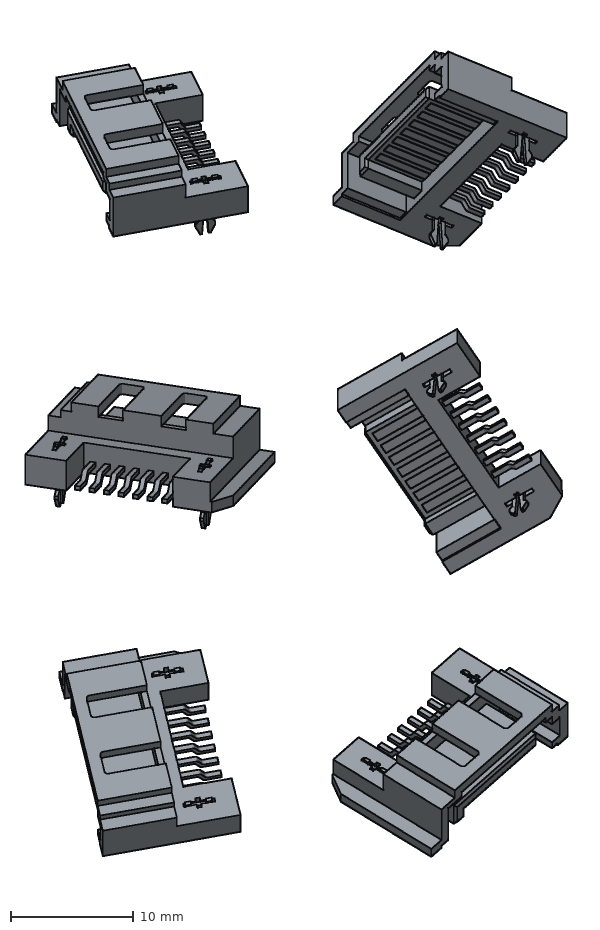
import cadquery as cq
import math


WIDTH = 17.47
DEPTH = 11.51
HEIGHT = 5.49
SHELL_DEPTH = 6.18
BACK_HEIGHT = 2.67
MIDDLE_X = 9.26

LEDGE_WIDTH = 1.31
LEDGE_HEIGHT = 0.95
LEDGE_CUT_X = 1.17
LEDGE_CUT_Y = 1.9

ROOF_LEFT_X = 3.02
ROOF_RIGHT_X = 15.45
LEFT_SHOULDER_Z = 4.6
RIGHT_SHOULDER_X = 16.39
RIGHT_SHOULDER_Z = 4.66
RIGHT_WALL_Z = 4.02

CAVITY_DEPTH = 5.66
CAVITY_LEFT_X = 2.2
CAVITY_RIGHT_X = ROOF_RIGHT_X
CAVITY_SHOULDER_Z = RIGHT_WALL_Z
CAVITY_ROOF_Z = 4.55
CAVITY_ROOF_LEFT_X = 3.91
CAVITY_ROOF_RIGHT_X = 14.62
SIDE_SLOT_X = 16.45
SIDE_SLOT_TOP_Z = 3.13
FOOT_RELIEF_LEFT_X = LEDGE_WIDTH
FOOT_RELIEF_RIGHT_X = 16.16
FOOT_RELIEF_HEIGHT = 0.23

WINDOW_WIDTH = 2.15
WINDOW_PITCH = 5.5
WINDOW_FRONT_Y = 1.1
WINDOW_RADIUS = 0.3

NOTCH_LEFT_X = 4.56
NOTCH_RIGHT_X = 13.89
NOTCH_DEPTH = 4.04
NOTCH_FRONT_Y = DEPTH - NOTCH_DEPTH

TONGUE_FRONT_Y = 0.25
TONGUE_LEFT_X = 3.42
TONGUE_RIGHT_X = 13.87
TONGUE_TOP_Z = 3.02
TONGUE_BOTTOM_Z = 1.75
TONGUE_LEG_X = 4.63
TONGUE_LEG_BOTTOM_Z = 0.82
TONGUE_BEVEL = 0.21

CONTACT_COUNT = 7
CONTACT_SPAN = 7.62
CONTACT_PITCH = CONTACT_SPAN / (CONTACT_COUNT - 1)
BLADE_WIDTH = 0.82
BLADE_FRONT_Y = 0.87
BLADE_DROP = 0.05
TAIL_WIDTH = 0.47
TAIL_THICKNESS = 0.37
TAIL_END_Y = 11.05
TAIL_SHOULDER_Y = 9.3
TAIL_FOOT_Y = 9.77
TAIL_DROP = 0.7
TAIL_BEND_RADIUS = 0.21

CLIP_PITCH = 12.72
CLIP_Y = 8.39
CLIP_THICKNESS = 0.31
CLIP_HALF_LENGTH = 1.12
CLIP_TOP_Z = 2.85
CLIP_NOTCH_HALF = 0.63
CLIP_NOTCH_Z = 2.5
CLIP_BODY_BOTTOM_Z = 0.87
LEG_OUTER = 0.55
LEG_GAP_TOP = 0.1
LEG_TIP_Z = -2.75
LEG_TIP_INNER = 0.28
LEG_TIP_OUTER = 0.45
BARB_START_Z = -1.25
BARB_TOP_Z = -1.68
BARB_BOTTOM_Z = -1.95
BARB_OUTER = 0.84
SLOT_LENGTH = 2.6
SLOT_Y = 8.44
CROSS_LENGTH = 0.93
CROSS_WIDTH = 0.37


def box(x0, x1, y0, y1, z0, z1):
    return cq.Workplane("XY").box(x1 - x0, y1 - y0, z1 - z0, centered=False).translate((x0, y0, z0))


def prism_along_y(points, y0, y1):
    return cq.Workplane("XZ", origin=(0, y0, 0)).polyline(points).close().extrude(y0 - y1)


def centred_positions(count, pitch):
    return [MIDDLE_X + (i - (count - 1) / 2) * pitch for i in range(count)]


def shell():
    outline = [
        (LEDGE_WIDTH, 0),
        (LEDGE_WIDTH, LEFT_SHOULDER_Z),
        (ROOF_LEFT_X, LEFT_SHOULDER_Z),
        (ROOF_LEFT_X, HEIGHT),
        (ROOF_RIGHT_X, HEIGHT),
        (ROOF_RIGHT_X, RIGHT_SHOULDER_Z),
        (RIGHT_SHOULDER_X, RIGHT_SHOULDER_Z),
        (RIGHT_SHOULDER_X, RIGHT_WALL_Z),
        (WIDTH, RIGHT_WALL_Z),
        (WIDTH, 0),
    ]
    return prism_along_y(outline, 0, SHELL_DEPTH)


def back_block():
    block = box(LEDGE_WIDTH, WIDTH, SHELL_DEPTH, DEPTH, 0, BACK_HEIGHT)
    return block.cut(box(NOTCH_LEFT_X, NOTCH_RIGHT_X, NOTCH_FRONT_Y, DEPTH, 0, BACK_HEIGHT))


def ledge():
    outline = [
        (0, 0),
        (LEDGE_WIDTH, 0),
        (LEDGE_WIDTH, DEPTH),
        (LEDGE_CUT_X, DEPTH),
        (0, DEPTH - LEDGE_CUT_Y),
    ]
    return cq.Workplane("XY").polyline(outline).close().extrude(LEDGE_HEIGHT)


def cavity():
    outline = [
        (FOOT_RELIEF_LEFT_X, 0),
        (FOOT_RELIEF_LEFT_X, FOOT_RELIEF_HEIGHT),
        (CAVITY_LEFT_X, FOOT_RELIEF_HEIGHT),
        (CAVITY_LEFT_X, CAVITY_SHOULDER_Z),
        (CAVITY_ROOF_LEFT_X, CAVITY_SHOULDER_Z),
        (CAVITY_ROOF_LEFT_X, CAVITY_ROOF_Z),
        (CAVITY_ROOF_RIGHT_X, CAVITY_ROOF_Z),
        (CAVITY_ROOF_RIGHT_X, CAVITY_SHOULDER_Z),
        (CAVITY_RIGHT_X, CAVITY_SHOULDER_Z),
        (CAVITY_RIGHT_X, SIDE_SLOT_TOP_Z),
        (SIDE_SLOT_X, SIDE_SLOT_TOP_Z),
        (SIDE_SLOT_X, LEDGE_HEIGHT),
        (CAVITY_RIGHT_X, LEDGE_HEIGHT),
        (CAVITY_RIGHT_X, FOOT_RELIEF_HEIGHT),
        (FOOT_RELIEF_RIGHT_X, FOOT_RELIEF_HEIGHT),
        (FOOT_RELIEF_RIGHT_X, 0),
    ]
    return prism_along_y(outline, 0, CAVITY_DEPTH)


def roof_window(x):
    left = x - WINDOW_WIDTH / 2
    opening = box(left, left + WINDOW_WIDTH, WINDOW_FRONT_Y, SHELL_DEPTH, CAVITY_ROOF_Z, HEIGHT)
    return opening.edges("|Z and <Y").fillet(WINDOW_RADIUS)


def tongue():
    outline = [
        (TONGUE_LEFT_X, TONGUE_LEG_BOTTOM_Z),
        (TONGUE_LEFT_X, TONGUE_TOP_Z),
        (TONGUE_RIGHT_X, TONGUE_TOP_Z),
        (TONGUE_RIGHT_X, TONGUE_BOTTOM_Z),
        (TONGUE_LEG_X, TONGUE_BOTTOM_Z),
        (TONGUE_LEG_X, TONGUE_LEG_BOTTOM_Z),
    ]
    body = prism_along_y(outline, TONGUE_FRONT_Y, CAVITY_DEPTH)
    return body.faces("<Y").chamfer(TONGUE_BEVEL)


def contact_blade(x):
    left = x - BLADE_WIDTH / 2
    bottom = TONGUE_BOTTOM_Z - BLADE_DROP
    return box(left, left + BLADE_WIDTH, BLADE_FRONT_Y, CAVITY_DEPTH, bottom, TONGUE_BOTTOM_Z)


def contact_tail(x):
    """A strip that leaves the wall, slopes down to the board and runs flat along it."""
    slope = math.atan2(TAIL_DROP, TAIL_FOOT_Y - TAIL_SHOULDER_Y)
    underside_shift = TAIL_THICKNESS * math.tan(slope / 2)
    outline = [
        (NOTCH_FRONT_Y, TAIL_DROP),
        (NOTCH_FRONT_Y, TAIL_DROP + TAIL_THICKNESS),
        (TAIL_SHOULDER_Y, TAIL_DROP + TAIL_THICKNESS),
        (TAIL_FOOT_Y, TAIL_THICKNESS),
        (TAIL_END_Y, TAIL_THICKNESS),
        (TAIL_END_Y, 0),
        (TAIL_FOOT_Y - underside_shift, 0),
        (TAIL_SHOULDER_Y - underside_shift, TAIL_DROP),
    ]
    left = x - TAIL_WIDTH / 2
    strip = cq.Workplane("YZ", origin=(left, 0, 0)).polyline(outline).close().extrude(TAIL_WIDTH)
    around_bends = cq.selectors.BoxSelector(
        (left, TAIL_SHOULDER_Y - TAIL_THICKNESS, -TAIL_THICKNESS),
        (left + TAIL_WIDTH, TAIL_FOOT_Y + TAIL_THICKNESS, HEIGHT),
    )
    return strip.edges("|X").edges(around_bends).fillet(TAIL_BEND_RADIUS)


def clip_slot(x):
    slot = cq.Workplane("XY").center(x, SLOT_Y).rect(CLIP_THICKNESS, SLOT_LENGTH).extrude(BACK_HEIGHT)
    cross = cq.Workplane("XY").center(x, CLIP_Y).rect(CROSS_LENGTH, CROSS_WIDTH).extrude(BACK_HEIGHT)
    return slot.union(cross)


def make_housing():
    body = shell().union(back_block()).union(ledge()).cut(cavity())
    for x in centred_positions(2, WINDOW_PITCH):
        body = body.cut(roof_window(x))
    body = body.union(tongue())
    for x in centred_positions(2, CLIP_PITCH):
        body = body.cut(clip_slot(x))
    for x in centred_positions(CONTACT_COUNT, CONTACT_PITCH):
        body = body.union(contact_blade(x)).union(contact_tail(x))
    return body


def make_clip(x):
    """A flat clip: two arms up, a web in the slot and two barbed legs below the board face."""
    half_outline = [
        (0, CLIP_NOTCH_Z),
        (CLIP_NOTCH_HALF, CLIP_NOTCH_Z),
        (CLIP_NOTCH_HALF, CLIP_TOP_Z),
        (CLIP_HALF_LENGTH, CLIP_TOP_Z),
        (CLIP_HALF_LENGTH, CLIP_BODY_BOTTOM_Z),
        (LEG_OUTER, CLIP_BODY_BOTTOM_Z),
        (LEG_OUTER, BARB_START_Z),
        (BARB_OUTER, BARB_TOP_Z),
        (BARB_OUTER, BARB_BOTTOM_Z),
        (LEG_TIP_OUTER, LEG_TIP_Z),
        (LEG_TIP_INNER, LEG_TIP_Z),
        (LEG_GAP_TOP, 0),
        (LEG_GAP_TOP, CLIP_BODY_BOTTOM_Z),
        (0, CLIP_BODY_BOTTOM_Z),
    ]
    plane = cq.Workplane("YZ", origin=(x - CLIP_THICKNESS / 2, CLIP_Y, 0))
    half = plane.polyline(half_outline).close().extrude(CLIP_THICKNESS)
    return half.union(half.mirror("XZ", (0, CLIP_Y, 0)))


housing = make_housing()
clips = [make_clip(x) for x in centred_positions(2, CLIP_PITCH)]

result = cq.Compound.makeCompound([housing.val(), *[clip.val() for clip in clips]])